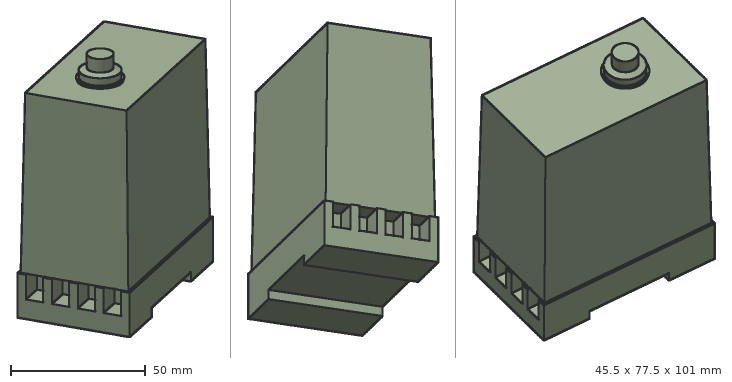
import cadquery as cq
import math

BASE_WIDTH = 45.5
BASE_LENGTH = 77.5
BASE_HEIGHT = 18.0
RAIL_WIDTH = 36.0
RAIL_DEPTH = 3.75

POCKET_COUNT = 4
POCKET_PITCH = 10.5
POCKET_WIDTH = 7.0
POCKET_HEIGHT = 10.0
POCKET_DEPTH = 10.0

LEDGE = 0.9
DRAFT_ANGLE = 1.0
HOUSING_TOP = 90.5
HOUSING_WIDTH = BASE_WIDTH - 2 * LEDGE
HOUSING_LENGTH = BASE_LENGTH - 2 * LEDGE
TAPER_INSET = (HOUSING_TOP - BASE_HEIGHT) * math.tan(math.radians(DRAFT_ANGLE))

BUTTON_Y = -14.0
FLANGE_RADIUS = 9.0
FLANGE_FOOT_RADIUS = 8.6
FLANGE_TOP = 91.5
COLLAR_RADIUS = 8.0
COLLAR_TOP = 94.5
PIN_RADIUS = 5.0
PIN_FOOT = 95.5
TOTAL_HEIGHT = 101.0


def make_base():
    """Rectangular block with the rail channel running along X underneath."""
    block = cq.Workplane("XY").box(BASE_WIDTH, BASE_LENGTH, BASE_HEIGHT, centered=(True, True, False))
    channel = cq.Workplane("XY").box(BASE_WIDTH, RAIL_WIDTH, RAIL_DEPTH, centered=(True, True, False))
    return block.cut(channel)


def make_pockets():
    """Blind terminal pockets, a row in each end face, reaching up to the base top."""
    pocket_centre_y = (BASE_LENGTH - POCKET_DEPTH) / 2
    centres = []
    for index in range(POCKET_COUNT):
        x = (index - (POCKET_COUNT - 1) / 2) * POCKET_PITCH
        for side in (-1, 1):
            centres.append((x, side * pocket_centre_y))
    return (
        cq.Workplane("XY", origin=(0, 0, BASE_HEIGHT - POCKET_HEIGHT))
        .pushPoints(centres)
        .rect(POCKET_WIDTH, POCKET_DEPTH)
        .extrude(POCKET_HEIGHT)
    )


def make_housing():
    """Housing whose four walls lean inwards equally towards the top."""
    return (
        cq.Workplane("XY", origin=(0, 0, BASE_HEIGHT))
        .rect(HOUSING_WIDTH, HOUSING_LENGTH)
        .workplane(offset=HOUSING_TOP - BASE_HEIGHT)
        .rect(HOUSING_WIDTH - 2 * TAPER_INSET, HOUSING_LENGTH - 2 * TAPER_INSET)
        .loft(ruled=True)
    )


def make_button():
    """Flange, collar with a conical shoulder, and pin, revolved from a half profile."""
    half_profile = [
        (0, HOUSING_TOP),
        (FLANGE_FOOT_RADIUS, HOUSING_TOP),
        (FLANGE_RADIUS, FLANGE_TOP),
        (COLLAR_RADIUS, FLANGE_TOP),
        (COLLAR_RADIUS, COLLAR_TOP),
        (PIN_RADIUS, PIN_FOOT),
        (PIN_RADIUS, TOTAL_HEIGHT),
        (0, TOTAL_HEIGHT),
    ]
    return (
        cq.Workplane("XZ", origin=(0, BUTTON_Y, 0))
        .polyline(half_profile)
        .close()
        .revolve(360, (0, 0, 0), (0, 1, 0))
    )


result = make_base().cut(make_pockets()).union(make_housing()).union(make_button())